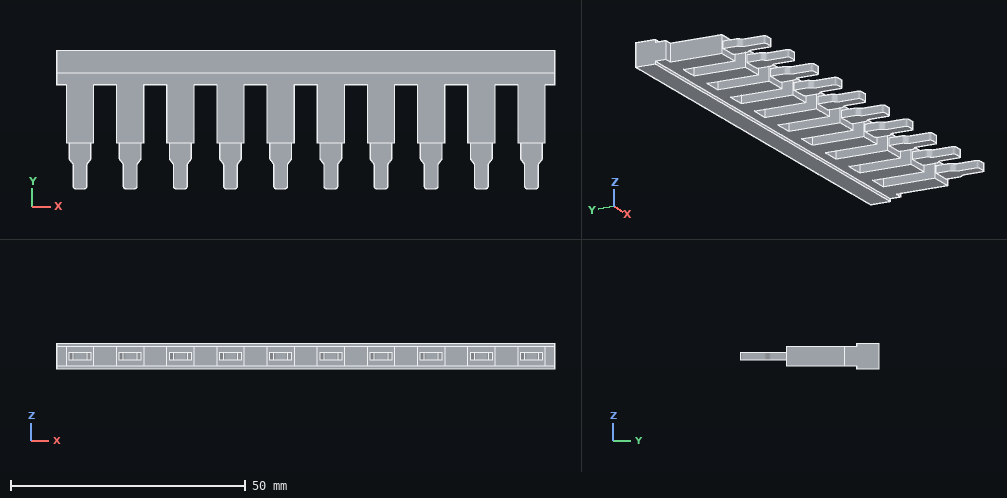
import cadquery as cq

length = 106.3
rail_height = 5.5
rail_depth = 4.8
body_height = 4.3
body_depth = 7.3

finger_count = 10
first_finger_x = 5.0
finger_span = 96.3
finger_pitch = finger_span / (finger_count - 1)
finger_width = 5.8
finger_end = 19.8

prong_thickness = 1.7
prong_width = 4.7
prong_end = 29.5
tip_width = 3.0
shoulder_start = 23.2
shoulder_end = 24.2
shoulder_round = 0.6
tip_round = 0.6


def block(center_x, width, back, front, height):
    """Box centred on center_x and Z = 0, reaching from back to front along -Y."""
    box = cq.Workplane("XY").box(width, front - back, height)
    return box.translate((center_x, -(back + front) / 2, 0))


def make_prong():
    """Prong centred on X = 0, with sloped, rounded shoulders and a rounded tip."""
    half_prong = prong_width / 2
    half_tip = tip_width / 2
    outline = [
        (-half_prong, -finger_end),
        (-half_prong, -shoulder_start),
        (-half_tip, -shoulder_end),
        (-half_tip, -prong_end),
        (half_tip, -prong_end),
        (half_tip, -shoulder_end),
        (half_prong, -shoulder_start),
        (half_prong, -finger_end),
    ]
    blade = cq.Workplane("XY").polyline(outline).close().extrude(prong_thickness / 2, both=True)
    shoulder_zone = cq.selectors.BoxSelector(
        (-prong_width, -shoulder_end - shoulder_round, -prong_thickness),
        (prong_width, -shoulder_start + shoulder_round, prong_thickness),
    )
    blade = blade.edges("|Z").edges(shoulder_zone).fillet(shoulder_round)
    return blade.faces("<Y").edges("|Z").fillet(tip_round)


rail = block(length / 2, length, 0, rail_depth, rail_height)
body = block(length / 2, length, 0, body_depth, body_height)
prong = make_prong()

result = rail.union(body)
for index in range(finger_count):
    finger_x = first_finger_x + index * finger_pitch
    finger = block(finger_x, finger_width, body_depth, finger_end, body_height)
    result = result.union(finger).union(prong.translate((finger_x, 0, 0)))